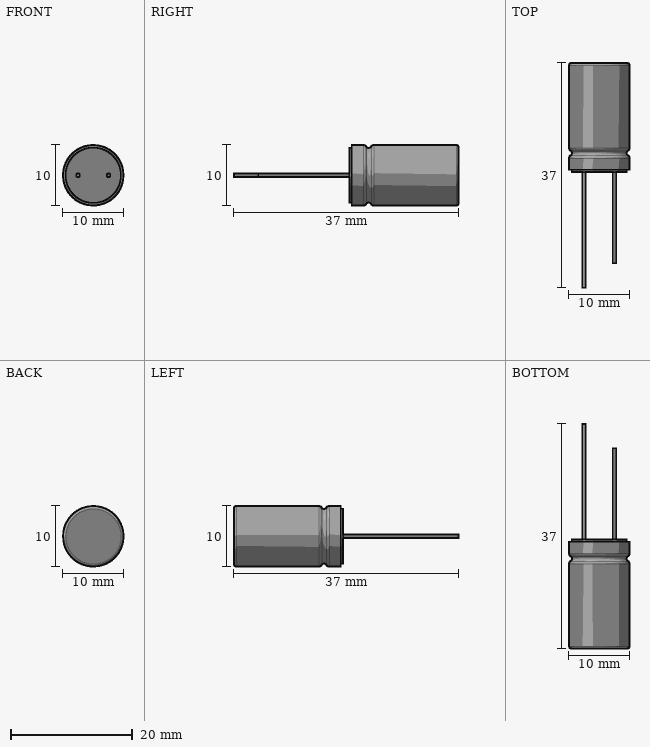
import cadquery as cq
import math

total_length = 37.0
body_length = 18.0
can_radius = 5.0
can_end_fillet = 0.45

groove_center = 3.15
groove_depth = 0.48
shoulder_width = 0.45
waist_half_width = 0.4

seal_radius = 4.55
seal_thickness = 0.37

lead_diameter = 0.63
lead_offset = 2.5
long_lead_length = total_length - body_length
short_lead_length = 15.02
leads = [(-lead_offset, long_lead_length), (lead_offset, short_lead_length)]


def cylinder(radius, x, start_y, end_y):
    """Cylinder along Y from start_y up to end_y, with its axis at the given X."""
    return (
        cq.Workplane("XZ", origin=(x, start_y, 0))
        .circle(radius)
        .extrude(start_y - end_y)
    )


def groove_side(side):
    """Shoulder edge, shoulder arc middle, arc junction and waist arc middle as (radius, y)."""
    turn = 2 * math.atan(groove_depth / (shoulder_width + waist_half_width))
    shoulder_radius = shoulder_width / math.sin(turn)
    waist_radius = waist_half_width / math.sin(turn)
    edge_y = groove_center + side * (waist_half_width + shoulder_width)

    def shoulder_point(angle):
        drop = shoulder_radius * (1 - math.cos(angle))
        return can_radius - drop, edge_y - side * shoulder_radius * math.sin(angle)

    waist_middle = (
        can_radius - groove_depth + waist_radius * (1 - math.cos(turn / 2)),
        groove_center + side * waist_radius * math.sin(turn / 2),
    )
    return shoulder_point(0), shoulder_point(turn / 2), shoulder_point(turn), waist_middle


def make_can():
    """Solid of revolution with a rolled groove and a rounded closed end."""
    waist = (can_radius - groove_depth, groove_center)
    front_edge, front_shoulder, front_junction, front_waist = groove_side(-1)
    back_edge, back_shoulder, back_junction, back_waist = groove_side(1)
    return (
        cq.Workplane("XY")
        .moveTo(0, seal_thickness)
        .lineTo(can_radius, seal_thickness)
        .lineTo(*front_edge)
        .threePointArc(front_shoulder, front_junction)
        .threePointArc(front_waist, waist)
        .threePointArc(back_waist, back_junction)
        .threePointArc(back_shoulder, back_edge)
        .lineTo(can_radius, body_length)
        .lineTo(0, body_length)
        .close()
        .revolve(360, (0, 0, 0), (0, 1, 0))
        .faces(">Y")
        .edges()
        .fillet(can_end_fillet)
    )


def make_lead(x, length):
    """Round wire passing through the seal up to the can."""
    return cylinder(lead_diameter / 2, x, -length, seal_thickness)


def make_seal():
    """Disc on the open end of the can, pierced by a hole for each lead."""
    seal = cylinder(seal_radius, 0, 0, seal_thickness)
    for x, _ in leads:
        seal = seal.cut(cylinder(lead_diameter / 2, x, 0, seal_thickness))
    return seal


can = make_can()
seal = make_seal()
lead_wires = [make_lead(x, length).val() for x, length in leads]

result = cq.Compound.makeCompound([can.val(), seal.val(), *lead_wires])